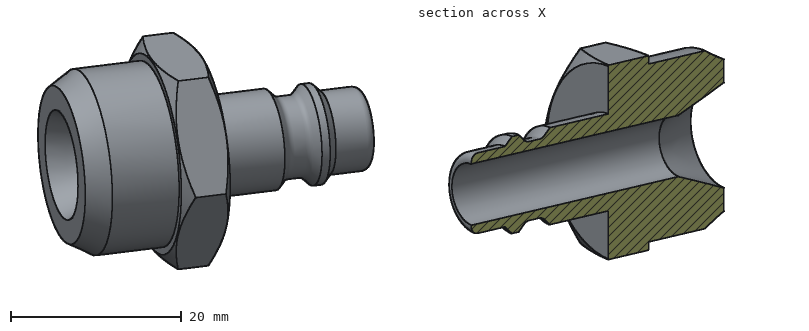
import cadquery as cq
import math

total_length = 37.0
lead_chamfer_length = 2.8
thread_length = 11.0
hex_width = 6.0
hex_end = thread_length + hex_width

lead_diameter = 18.72
thread_diameter = 22.0
bore_diameter = 7.5
entry_diameter = 13.0
entry_depth = 6.7

across_flats = 24.0
across_corners = across_flats / math.cos(math.radians(30))
hex_face_diameter = 23.75
hex_chamfer_angle = 30.0

shank_diameter = 12.02
shank_end = 25.5
groove_diameter = 9.8
groove_fillet = 1.0
flank_angle = math.radians(45)
collar_start = 30.05
collar_end = 31.05
tip_diameter = 10.0
tip_rounding = 1.0


def revolve_about_y(profile):
    """Revolve a closed profile, drawn as (radius, y), about the Y axis."""
    return profile.close().revolve(360, (0, 0, 0), (0, 1, 0))


def make_threaded_end():
    return revolve_about_y(
        cq.Workplane("XY")
        .lineTo(lead_diameter / 2, 0)
        .lineTo(thread_diameter / 2, lead_chamfer_length)
        .lineTo(thread_diameter / 2, thread_length)
        .lineTo(0, thread_length)
    )


def make_hexagon():
    """Hexagonal prism with its corners trimmed by a cone at both faces."""
    prism = (
        cq.Workplane("XZ", origin=(0, thread_length, 0))
        .polygon(6, across_corners)
        .extrude(-hex_width)
    )
    face_radius = hex_face_diameter / 2
    corner_radius = across_corners / 2
    chamfer_length = (corner_radius - face_radius) * math.tan(math.radians(hex_chamfer_angle))
    trimming_body = revolve_about_y(
        cq.Workplane("XY")
        .moveTo(0, thread_length)
        .lineTo(face_radius, thread_length)
        .lineTo(corner_radius, thread_length + chamfer_length)
        .lineTo(corner_radius, hex_end - chamfer_length)
        .lineTo(face_radius, hex_end)
        .lineTo(0, hex_end)
    )
    return prism.intersect(trimming_body)


def make_plug():
    """Shank, 45 degree groove with filleted floor, collar and rounded tip."""
    shank_radius = shank_diameter / 2
    groove_radius = groove_diameter / 2
    tip_radius = tip_diameter / 2
    groove_depth = shank_radius - groove_radius
    collar_height = shank_radius - tip_radius

    floor_start = shank_end + groove_depth
    floor_end = collar_start - groove_depth
    fillet_mid_angle = flank_angle / 2
    fillet_reach = groove_fillet * math.tan(fillet_mid_angle)
    flank_reach = fillet_reach * math.sin(flank_angle)
    flank_radius = groove_radius + flank_reach
    mid_radius = groove_radius + groove_fillet * (1 - math.cos(fillet_mid_angle))
    mid_offset = fillet_reach - groove_fillet * math.sin(fillet_mid_angle)

    tip_mid_inset = tip_rounding * (1 - math.cos(math.radians(45)))

    return revolve_about_y(
        cq.Workplane("XY")
        .moveTo(0, hex_end)
        .lineTo(shank_radius, hex_end)
        .lineTo(shank_radius, shank_end)
        .lineTo(flank_radius, floor_start - flank_reach)
        .threePointArc(
            (mid_radius, floor_start + mid_offset),
            (groove_radius, floor_start + fillet_reach),
        )
        .lineTo(groove_radius, floor_end - fillet_reach)
        .threePointArc(
            (mid_radius, floor_end - mid_offset),
            (flank_radius, floor_end + flank_reach),
        )
        .lineTo(shank_radius, collar_start)
        .lineTo(shank_radius, collar_end)
        .lineTo(tip_radius, collar_end + collar_height)
        .lineTo(tip_radius, total_length - tip_rounding)
        .threePointArc(
            (tip_radius - tip_mid_inset, total_length - tip_mid_inset),
            (tip_radius - tip_rounding, total_length),
        )
        .lineTo(0, total_length)
    )


def make_bore():
    """Through bore with a conical entry at the threaded end."""
    return revolve_about_y(
        cq.Workplane("XY")
        .lineTo(entry_diameter / 2, 0)
        .lineTo(bore_diameter / 2, entry_depth)
        .lineTo(bore_diameter / 2, total_length)
        .lineTo(0, total_length)
    )


body = make_threaded_end().union(make_hexagon()).union(make_plug())
result = body.cut(make_bore())